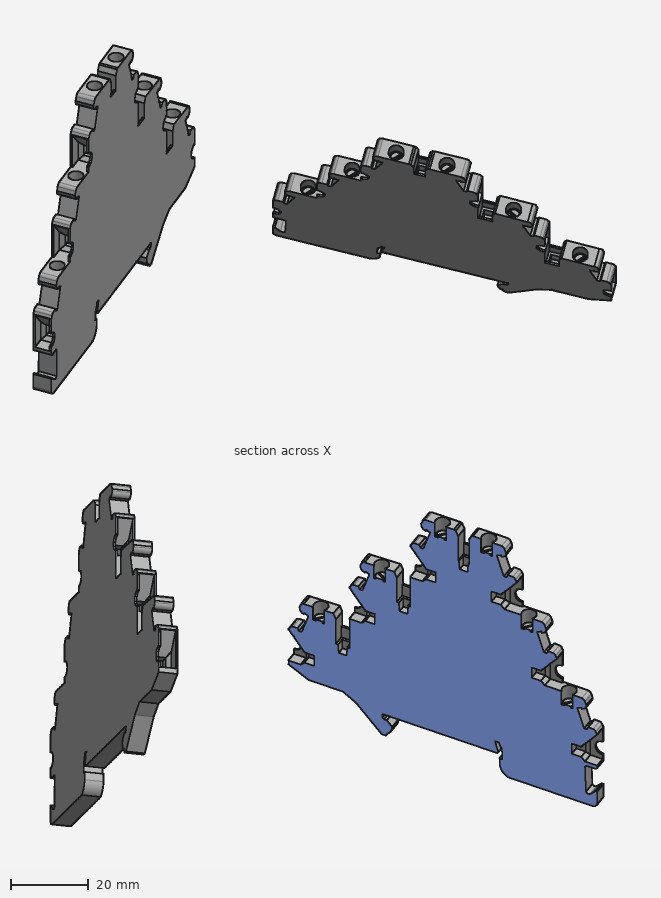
import cadquery as cq

THICKNESS = 5.1
LENGTH = 90.0
HEIGHT = 76.9
HALF_LENGTH = LENGTH / 2

TIER_COUNT = 3
TIER_PITCH = 20.9
FRONT_STEP = 11.7
BACK_STEP = 17.7
FRONT, BACK = -1, 1

SLOT_DEPTH = 6.3
BACK_SLOT_INSET = 13.9
CENTRE_SLOT_WIDTH = 3.1
MOUTH_CHAMFER_WIDTH = 0.7
MOUTH_CHAMFER_HEIGHT = 1.7
CENTRE_MOUTH_EASE_WIDTH = 0.5
CENTRE_MOUTH_EASE_HEIGHT = 0.2
BACK_TOP_FALL = 0.3

FOOT_LEDGE = 12.8
HOOK_RECESS_Y = -41.5
HOOK_TIP_Z = 5.5
LEDGE_FILLET = 0.5
LEDGE_ROUND = 0.7
TOE_RADIUS = 1.5
BASE_TOP = 18.0
COLUMN_BOTTOM = 14.4
RAIL_Z = 6.8

SCREW_X = 0.3
SCREW_INSET = 8.8
HOLE_RADIUS = 2.0
HEAD_RADIUS = 1.6
HEAD_DROP = 4.05
HEAD_HEIGHT = 0.45
DRIVE_WIDTH = 0.45
DRIVE_ANGLE = -42.0
TURNED_DRIVE_ANGLE = 62.0

FUNNEL_WIDTH = 4.05
FUNNEL_TOP_DROP = 10.6
FUNNEL_BOTTOM_DROP = 20.9
FUNNEL_DEPTH = 4.7
THROAT_X = 0.3
THROAT_WIDTH = 2.4
THROAT_TOP_DROP = 16.6
THROAT_BOTTOM_DROP = 19.8
THROAT_DEPTH = 2.7
TAPER_START = 0.76
NOTCH_RADIUS = 2.2
NOTCH_DROP = 17.3

SOCKET_WIDTH = 4.05
SOCKET_DEPTH = 3.6
PIN_MARGIN = 0.2
PIN_TOP_SIZE = 2.6
PIN_END_SIZE = 2.2
PIN_DEPTH = 2.7


def tier_top(tier):
    return HEIGHT - tier * TIER_PITCH


def tier_wall(side, tier):
    step = FRONT_STEP if side == FRONT else BACK_STEP
    return side * (HALF_LENGTH - (TIER_COUNT - 1 - tier) * step)


CENTRE_SLOT_Y = (tier_wall(FRONT, 0) + tier_wall(BACK, 0)) / 2


def plate(sketch):
    """Extrude a closed YZ outline through the full thickness."""
    return sketch.close().extrude(THICKNESS / 2, both=True)


def block(y_low, y_high, z_low, z_high):
    corners = [(y_low, z_low), (y_high, z_low), (y_high, z_high), (y_low, z_high)]
    return plate(cq.Workplane("YZ").polyline(corners))


def clamp(side, tier, width, inner_edge, top_fall):
    """Column of one tier: screw nose, slanted neck, grooved lip and outer wall.

    The inner edge is a list of (inset, drop) corners leading up to the top face.
    """
    wall, top = tier_wall(side, tier), tier_top(tier)

    def at(inset, drop):
        return wall - side * inset, top - drop

    column = cq.Workplane("YZ").moveTo(*at(width, top - COLUMN_BOTTOM))
    for inset, drop in inner_edge:
        column = column.lineTo(*at(inset, drop))
    column = column.lineTo(*at(4.5, top_fall)).threePointArc(at(4.0, 0.3), at(3.6, 0.7))
    column = column.lineTo(*at(3.15, 1.9)).lineTo(*at(3.15, 2.3))
    column = column.threePointArc(at(3.4, 3.1), at(4.5, 3.8))
    column = column.lineTo(*at(4.7, 3.4)).lineTo(*at(5.8, 3.9))
    column = column.lineTo(*at(3.8, 9.9)).lineTo(*at(3.1, 9.9)).lineTo(*at(2.7, 9.0)).lineTo(*at(1.3, 9.1))
    column = column.threePointArc(at(0.7, 9.3), at(0.45, 9.6)).lineTo(*at(0, 10.4))
    return plate(column.lineTo(*at(0, top - COLUMN_BOTTOM)))


def foot():
    """Base with the rail recess between a slanted latch and a hooked front foot."""
    base = cq.Workplane("YZ").moveTo(HALF_LENGTH, BASE_TOP).lineTo(HALF_LENGTH, FOOT_LEDGE)
    base = base.lineTo(39.15, 9.8).lineTo(29.2, 9.8).lineTo(25.3, 7.6)
    base = base.lineTo(17.8, 0).lineTo(16.65, 0).lineTo(16.1, 0.9)
    base = base.threePointArc((15.1, 2.1), (14.8, 3.8))
    base = base.lineTo(16.3, 5.4).lineTo(17.1, 5.4).lineTo(17.55, 5.85).lineTo(17.55, RAIL_Z)
    base = base.lineTo(-15.8, RAIL_Z).lineTo(-16.2, 7.4).lineTo(-15.3, 10.6).lineTo(-16.2, 10.6)
    base = base.lineTo(-17.0, 8.9).lineTo(-17.3, 7.4).lineTo(-17.3, 5.5).lineTo(-16.5, 5.5).lineTo(-16.5, 3.4)
    base = base.threePointArc((-17.3, 1.35), (-18.9, 0))
    base = base.lineTo(TOE_RADIUS - HALF_LENGTH, 0).radiusArc((-HALF_LENGTH, TOE_RADIUS), TOE_RADIUS)
    base = base.lineTo(-HALF_LENGTH, HOOK_TIP_Z).lineTo(-44.5, HOOK_TIP_Z)
    base = base.lineTo(-43.0, 4.05).threePointArc((-42.4, 3.8), (-41.8, 4.2))
    base = base.lineTo(HOOK_RECESS_Y, FOOT_LEDGE - LEDGE_FILLET)
    base = base.radiusArc((HOOK_RECESS_Y - LEDGE_FILLET, FOOT_LEDGE), -LEDGE_FILLET)
    base = base.lineTo(LEDGE_ROUND - HALF_LENGTH, FOOT_LEDGE)
    base = base.radiusArc((-HALF_LENGTH, FOOT_LEDGE + LEDGE_ROUND), LEDGE_ROUND).lineTo(-HALF_LENGTH, BASE_TOP)
    return plate(base)


def socket(y, floor_z, slot_width):
    """Rectangular recess across a slot floor, with a tapered pin hole at its bottom."""
    pin_top_length = min(PIN_TOP_SIZE, slot_width - 2 * PIN_MARGIN)
    recess = cq.Workplane("XY", origin=(0, y, floor_z)).rect(SOCKET_WIDTH, slot_width).extrude(-SOCKET_DEPTH)
    pin = (
        cq.Workplane("XY", origin=(0, y, floor_z - SOCKET_DEPTH))
        .rect(PIN_TOP_SIZE, pin_top_length)
        .workplane(offset=-PIN_DEPTH)
        .rect(PIN_END_SIZE, PIN_END_SIZE)
        .loft()
    )
    return recess.union(pin)


def screw_hole(side, tier, angle):
    """Round hole ending in a screw head with a straight driver slot."""
    y = tier_wall(side, tier) - side * SCREW_INSET
    depth = HEAD_DROP + HEAD_HEIGHT
    bottom = cq.Workplane("XY", origin=(SCREW_X, y, tier_top(tier) - depth))
    hole = bottom.circle(HOLE_RADIUS).extrude(depth)
    head = bottom.circle(HEAD_RADIUS).extrude(HEAD_HEIGHT)
    drive = bottom.transformed(rotate=(0, 0, angle)).rect(2 * HOLE_RADIUS, DRIVE_WIDTH).extrude(HEAD_HEIGHT)
    return hole.cut(head.cut(drive))


def wire_entry(side, tier):
    """Funnel with a sloping roof, narrowing to a square throat, open through the +X wall."""
    wall, top = tier_wall(side, tier), tier_top(tier)
    taper_depth = TAPER_START * FUNNEL_DEPTH
    taper_top_drop = FUNNEL_TOP_DROP + TAPER_START * (THROAT_TOP_DROP - FUNNEL_TOP_DROP)

    def cross_section(depth, x, width, top_drop, bottom_drop):
        middle_z = top - (top_drop + bottom_drop) / 2
        centre = cq.Vector(x, wall - side * depth, middle_z)
        plane = cq.Plane(origin=centre, xDir=(1, 0, 0), normal=(0, -1, 0))
        return cq.Workplane(plane).rect(width, bottom_drop - top_drop).wires().val()

    throat_opening = (THROAT_X, THROAT_WIDTH, THROAT_TOP_DROP, THROAT_BOTTOM_DROP)
    mouth = cross_section(0, 0, FUNNEL_WIDTH, FUNNEL_TOP_DROP, FUNNEL_BOTTOM_DROP)
    waist = cross_section(taper_depth, 0, FUNNEL_WIDTH, taper_top_drop, FUNNEL_BOTTOM_DROP)
    throat = cross_section(FUNNEL_DEPTH, *throat_opening)
    throat_end = cross_section(FUNNEL_DEPTH + THROAT_DEPTH, *throat_opening)
    entry = cq.Workplane(cq.Solid.makeLoft([mouth, waist], True))
    entry = entry.union(cq.Workplane(cq.Solid.makeLoft([waist, throat], True)))
    entry = entry.union(cq.Workplane(cq.Solid.makeLoft([throat, throat_end], True)))
    notch = (
        cq.Workplane("YZ", origin=(FUNNEL_WIDTH / 2, wall, top - NOTCH_DROP))
        .circle(NOTCH_RADIUS)
        .extrude(THICKNESS)
    )
    return entry.union(notch)


def square_edge(width):
    return [(width, 0)]


def slot_edge(width):
    """Chamfered mouth of a slot."""
    return [(width, MOUTH_CHAMFER_HEIGHT), (width - MOUTH_CHAMFER_WIDTH, 0)]


def centre_slot_edge(width):
    """Chamfered mouth of the centre slot, with the upper corner eased."""
    eased = width - MOUTH_CHAMFER_WIDTH
    return [
        (width, MOUTH_CHAMFER_HEIGHT),
        (eased, CENTRE_MOUTH_EASE_HEIGHT),
        (eased - CENTRE_MOUTH_EASE_WIDTH, 0),
    ]


body = foot()
centre_width = (tier_wall(BACK, 0) - tier_wall(FRONT, 0) - CENTRE_SLOT_WIDTH) / 2
for side in (FRONT, BACK):
    body = body.union(clamp(side, 0, centre_width, centre_slot_edge(centre_width), 0))
for tier in range(1, TIER_COUNT):
    body = body.union(clamp(FRONT, tier, FRONT_STEP, square_edge(FRONT_STEP), 0))
    body = body.union(clamp(BACK, tier, BACK_SLOT_INSET, slot_edge(BACK_SLOT_INSET), BACK_TOP_FALL))

sockets = []
for tier in range(TIER_COUNT):
    slot_width = CENTRE_SLOT_WIDTH if tier == 0 else BACK_STEP - BACK_SLOT_INSET
    slot_y = CENTRE_SLOT_Y if tier == 0 else tier_wall(BACK, tier - 1) + slot_width / 2
    floor_z = tier_top(tier) - SLOT_DEPTH
    body = body.union(block(slot_y - slot_width / 2, slot_y + slot_width / 2, COLUMN_BOTTOM, floor_z))
    sockets.append(socket(slot_y, floor_z, slot_width))

for cutter in sockets:
    body = body.cut(cutter)
for side in (FRONT, BACK):
    for tier in range(TIER_COUNT):
        turned = side == BACK and tier == 1
        body = body.cut(screw_hole(side, tier, TURNED_DRIVE_ANGLE if turned else DRIVE_ANGLE))
        body = body.cut(wire_entry(side, tier))

result = body